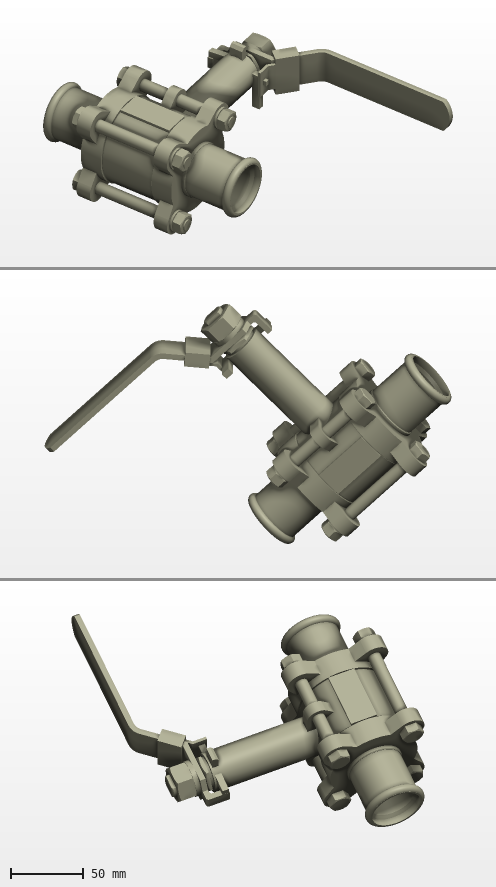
import cadquery as cq
import math


end_x = 77.5
pipe_d = 38.6
bead_d = 43.9
bead_width = 6.5
neck_d = 40.4
neck_length = 2.7
neck_chamfer = 0.6
bore_d = 32.0
mouth_d = 35.9
mouth_depth = 5.0
mouth_cone_end = 7.4

flange_d = 65.0
flange_outer_x = 37.6
flange_inner_x = 21.0
ear_thickness = 11.2
ear_r = 10.5
bolt_offset = 27.22
ear_root = (12.6, 29.9)

body_d = 63.0
body_half_length = 20.2
seal_d = 61.5
pad_half_width = 9.6
pad_z = 32.2
lug_r = 8.2
lug_thickness = 8.0

bolt_d = 9.25
bolt_across_flats = 14.0
head_height = 6.2
washer_d = 15.8
washer_thickness = 1.6
nut_height = 7.4
bolt_tip_d = 8.0
bolt_tip_x = 47.5
hex_chamfer = 0.8
chamfer_slope = 2.0

stem_tube_d = 28.5
stem_tube_base = 26.0
stem_tube_top = 108.2
packing_ring_d = 23.5
packing_nut_base = 110.2
packing_nut_top = 113.8
packing_nut_chamfer = 1.7
packing_neck_d = 21.0
stem_nut_across_flats = 24.4
collar_d = 25.6
collar_top = 121.8
stem_nut_top = 134.2
stem_d = 15.8
stem_flats = 11.0
stem_top = 137.1
stem_chamfer = 0.6

lever_thickness = 4.0
lever_width = 25.4
lever_top = 146.5
lever_base = 114.4
lever_end_x = 150.0
lever_end_sagitta = 5.4
lever_bend_r = 8.0
lever_angle = 49.0
lever_rise_x = 20.2
slope = math.radians(lever_angle)
rise_start = (lever_rise_x, lever_base + lever_thickness / 2)
stop_leg_x = -23.0
stop_leg_width = 9.0
stop_leg_bottom = 101.3
leg_bend_r = 2.0
taper_start_x = -15.5
taper_end_x = -11.0

sleeve_width = 31.0
sleeve_height = 10.2
sleeve_length = 17.2
sleeve_start = 1.2
strap_x = 19.3
strap_thickness = 2.1
strap_bottom = 100.5
strap_bend_y = 111.0
strap_width = 21.0

tab_bottom = 102.1
tab_top = 106.8
tab_reach = 23.0
tab_half_width = 5.2
tab_bevel = 2.2
side_tab_outer_z = (4.6, 9.3)
side_tab_inner_z = (5.0, 10.5)
side_tab_inner_x = -9.4
latch_tab_x = (13.2, 19.4)
latch_tab_top_z = 5.4
tongue_x = 23.9
tongue_bottom = 103.9
tongue_half_width = 2.0


def x_cylinder(diameter, x_start, x_end):
    return cq.Workplane("YZ", origin=(x_start, 0, 0)).circle(diameter / 2).extrude(x_end - x_start)


def y_plane(y):
    """Plane facing +Y at height y; its local axes are Z and X."""
    return cq.Workplane("ZX", origin=(0, y, 0))


def y_cylinder(diameter, y_start, y_end):
    return y_plane(y_start).circle(diameter / 2).extrude(y_end - y_start)


def block(x_range, y_range, z_range):
    size = [high - low for low, high in (x_range, y_range, z_range)]
    start = (x_range[0], y_range[0], z_range[0])
    return cq.Workplane("XY").box(*size, centered=False).translate(start)


def corner_cone(height, across_corners, chamfer_low, chamfer_high):
    """Turned blank, along Z, that bevels the corners of a hexagon."""
    radius = across_corners / 2
    points = [(0, 0), (radius - chamfer_slope * chamfer_low, 0)]
    if chamfer_low:
        points.append((radius, chamfer_low))
    points.append((radius, height - chamfer_high))
    if chamfer_high:
        points.append((radius - chamfer_slope * chamfer_high, height))
    points.append((0, height))
    return cq.Workplane("XZ").polyline(points).close().revolve(360, (0, 0), (0, 1))


def hexagon(across_flats, height, chamfer_low, chamfer_high):
    """Hexagonal prism along Z with two corners on X."""
    across_corners = across_flats / math.cos(math.radians(30))
    prism = cq.Workplane("XY").polygon(6, across_corners).extrude(height)
    return prism.intersect(corner_cone(height, across_corners, chamfer_low, chamfer_high))


def hexagon_along_x(x_start, height, chamfer_low, chamfer_high, y, z):
    """Bolt hexagon; its corners lie on Z where y and z have equal signs, otherwise on Y."""
    corner_angle = 0 if y * z > 0 else 90
    prism = hexagon(bolt_across_flats, height, chamfer_low, chamfer_high)
    prism = prism.rotate((0, 0, 0), (0, 0, 1), corner_angle)
    return prism.rotate((0, 0, 0), (0, 1, 0), 90).translate((x_start, y, z))


def hexagon_along_y(y_start, height, chamfer_low, chamfer_high):
    prism = hexagon(stem_nut_across_flats, height, chamfer_low, chamfer_high)
    return prism.rotate((0, 0, 0), (1, 0, 0), -90).translate((0, y_start, 0))


def ear_tangent():
    """Point where an ear's straight side touches its round end."""
    dy = bolt_offset - ear_root[0]
    dz = bolt_offset - ear_root[1]
    distance = math.hypot(dy, dz)
    angle = math.atan2(dz, dy) + math.asin(ear_r / distance)
    length = math.sqrt(distance ** 2 - ear_r ** 2)
    return (ear_root[0] + length * math.cos(angle), ear_root[1] + length * math.sin(angle))


def ear():
    tangent = ear_tangent()
    tip = bolt_offset + ear_r / math.sqrt(2)
    return (
        cq.Workplane("YZ", origin=(-flange_outer_x, 0, 0))
        .moveTo(0, 0)
        .lineTo(*ear_root)
        .lineTo(*tangent)
        .threePointArc((tip, tip), tangent[::-1])
        .lineTo(*ear_root[::-1])
        .close()
        .extrude(ear_thickness)
    )


def end_bead():
    """Half-round bead at the mouth of the -X pipe stub."""
    bead_r = bead_width / 2
    profile = (
        cq.Workplane("XY")
        .moveTo(-end_x, 0)
        .lineTo(-end_x, bead_d / 2 - bead_r)
        .threePointArc((-end_x + bead_r, bead_d / 2), (-end_x + bead_width, bead_d / 2 - bead_r))
        .lineTo(-end_x + bead_width, 0)
        .close()
    )
    return profile.revolve(360, (0, 0), (1, 0))


def mouth():
    """Cutter for the stepped mouth of the -X pipe stub."""
    profile = (
        cq.Workplane("XY")
        .moveTo(-end_x, 0)
        .lineTo(-end_x, mouth_d / 2)
        .lineTo(-end_x + mouth_depth, mouth_d / 2)
        .lineTo(-end_x + mouth_cone_end, bore_d / 2)
        .lineTo(-end_x + mouth_cone_end, 0)
        .close()
    )
    return profile.revolve(360, (0, 0), (1, 0))


def end_cap():
    """The cap on the -X side with its pipe stub."""
    cap = x_cylinder(flange_d, -flange_outer_x, -flange_inner_x)
    cap = cap.union(x_cylinder(pipe_d, -end_x, -flange_outer_x))
    neck = x_cylinder(neck_d, -flange_outer_x - neck_length, -flange_outer_x)
    cap = cap.union(neck.edges("<X").chamfer(neck_chamfer)).union(end_bead())
    for quarter in range(4):
        cap = cap.union(ear().rotate((0, 0, 0), (1, 0, 0), 90 * quarter))
    return cap


def lug(side):
    """Bolt guide on the stem side of the body; side is the sign of Z."""
    arm_length = bolt_offset * math.sqrt(2)
    arm = (
        cq.Workplane("YZ", origin=(-lug_thickness / 2, 0, 0))
        .center(arm_length / 2, 0)
        .rect(arm_length, 2 * lug_r)
        .extrude(lug_thickness)
        .rotate((0, 0, 0), (1, 0, 0), 45 * side)
    )
    x_range = (-lug_thickness / 2, lug_thickness / 2)
    eye = x_cylinder(2 * lug_r, *x_range).translate((0, bolt_offset, side * bolt_offset))
    return arm.union(eye)


def body():
    half = body_half_length
    shape = x_cylinder(body_d, -half, half)
    pad_range = (-pad_half_width, pad_half_width)
    shape = shape.union(block((-half, half), pad_range, (-pad_z, pad_z)))
    shape = shape.union(x_cylinder(seal_d, -flange_inner_x, flange_inner_x))
    bridge = block(
        (-lug_thickness / 2, lug_thickness / 2),
        (0, bolt_offset + lug_r),
        (-bolt_offset, bolt_offset),
    )
    return shape.union(bridge).union(lug(1)).union(lug(-1))


def bolt(y, z):
    washer_end = flange_outer_x + washer_thickness
    nut_end = washer_end + nut_height
    shank = x_cylinder(bolt_d, -flange_outer_x, washer_end)
    washer = x_cylinder(washer_d, flange_outer_x, washer_end)
    tip = x_cylinder(bolt_tip_d, washer_end, bolt_tip_x)
    head = hexagon_along_x(-flange_outer_x - head_height, head_height, hex_chamfer, 0, y, z)
    nut = hexagon_along_x(washer_end, nut_end - washer_end, hex_chamfer, hex_chamfer, y, z)
    turned = shank.union(washer).union(tip).translate((0, y, z))
    return turned.union(head).union(nut)


def bored(shape):
    shape = shape.cut(x_cylinder(bore_d, -end_x, end_x))
    return shape.cut(mouth()).cut(mouth().mirror("YZ"))


def stem():
    shape = y_cylinder(stem_tube_d, stem_tube_base, stem_tube_top)
    shape = shape.union(y_cylinder(packing_ring_d, stem_tube_top, packing_nut_base))
    shape = shape.union(y_cylinder(packing_neck_d, packing_nut_base, lever_base))
    packing_nut_height = packing_nut_top - packing_nut_base
    shape = shape.union(hexagon_along_y(packing_nut_base, packing_nut_height, 0, packing_nut_chamfer))
    plate_top = lever_base + lever_thickness
    shape = shape.union(y_cylinder(collar_d, plate_top, collar_top))
    stem_nut_height = stem_nut_top - collar_top
    shape = shape.union(hexagon_along_y(collar_top, stem_nut_height, hex_chamfer, hex_chamfer))
    stem_end = y_cylinder(stem_d, stem_nut_top, stem_top).edges(">Y").chamfer(stem_chamfer)
    flat_blank = y_plane(stem_nut_top).rect(stem_flats, stem_d).extrude(stem_top - stem_nut_top)
    return shape.union(stem_end.intersect(flat_blank))


def stop_tabs():
    y_range = (tab_bottom, tab_top)
    width = (-tab_half_width, tab_half_width)
    upper = block(width, y_range, (0, tab_reach))
    upper = upper.faces(">Z").edges("<Y").chamfer(tab_bevel)
    side_corners = [
        (side_tab_outer_z[0], -tab_reach),
        (side_tab_outer_z[1], -tab_reach),
        (side_tab_inner_z[1], side_tab_inner_x),
        (side_tab_inner_z[0], side_tab_inner_x),
    ]
    side_tab = y_plane(tab_bottom).polyline(side_corners).close().extrude(tab_top - tab_bottom)
    latch_tab = block(latch_tab_x, y_range, (-tab_reach, latch_tab_top_z))
    tongue_z = (-tongue_half_width, tongue_half_width)
    tongue = block((latch_tab_x[0], tongue_x), (tongue_bottom, tab_top), tongue_z)
    return upper.union(side_tab).union(latch_tab).union(tongue)


def along_slope(distance, offset=0.0):
    """Point on the lever's rising part; offset is measured to its upper-left side."""
    return (
        rise_start[0] + distance * math.cos(slope) - offset * math.sin(slope),
        rise_start[1] + distance * math.sin(slope) + offset * math.cos(slope),
    )


def lever():
    half = lever_thickness / 2
    middle_top = lever_top - half
    rise = (middle_top - rise_start[1]) / math.sin(slope)
    corner = along_slope(rise)
    miter = half * math.tan(slope / 2)
    plate_top = lever_base + lever_thickness
    side = (
        cq.Workplane("XY", origin=(0, 0, -lever_width / 2))
        .moveTo(stop_leg_x, stop_leg_bottom)
        .lineTo(stop_leg_x, plate_top)
        .lineTo(rise_start[0] - miter, plate_top)
        .lineTo(corner[0] - miter, lever_top)
        .lineTo(lever_end_x, lever_top)
        .lineTo(lever_end_x, lever_top - lever_thickness)
        .lineTo(corner[0] + miter, lever_top - lever_thickness)
        .lineTo(rise_start[0] + miter, lever_base)
        .lineTo(stop_leg_x + lever_thickness, lever_base)
        .lineTo(stop_leg_x + lever_thickness, stop_leg_bottom)
        .close()
        .extrude(lever_width)
    )

    def bend(shape, x, y, radius):
        return shape.edges(cq.selectors.NearestToPointSelector((x, y, 0))).fillet(radius)

    outer_bend_r = lever_bend_r + lever_thickness
    side = bend(side, corner[0] - miter, lever_top, outer_bend_r)
    side = bend(side, corner[0] + miter, lever_top - lever_thickness, lever_bend_r)
    side = bend(side, stop_leg_x, plate_top, leg_bend_r)
    side = bend(side, stop_leg_x + lever_thickness, lever_base, leg_bend_r)

    half_width = lever_width / 2
    half_leg = stop_leg_width / 2
    outline = (
        y_plane(stop_leg_bottom)
        .moveTo(-half_leg, stop_leg_x)
        .lineTo(-half_leg, taper_start_x)
        .lineTo(-half_width, taper_end_x)
        .lineTo(-half_width, lever_end_x - lever_end_sagitta)
        .threePointArc((0, lever_end_x), (half_width, lever_end_x - lever_end_sagitta))
        .lineTo(half_width, taper_end_x)
        .lineTo(half_leg, taper_start_x)
        .lineTo(half_leg, stop_leg_x)
        .close()
        .extrude(lever_top - stop_leg_bottom)
    )
    return side.intersect(outline)


def lock_sleeve():
    half = sleeve_height / 2
    end = sleeve_start + sleeve_length
    corners = [
        along_slope(sleeve_start, half),
        along_slope(end, half),
        along_slope(end, -half),
        along_slope(sleeve_start, -half),
    ]
    sleeve = (
        cq.Workplane("XY", origin=(0, 0, -sleeve_width / 2))
        .polyline(corners)
        .close()
        .extrude(sleeve_width)
    )
    miter = strap_thickness * math.tan((math.pi / 2 - slope) / 2)
    reach = sleeve_height
    step = (reach * math.cos(slope), reach * math.sin(slope))
    outer_x = strap_x + strap_thickness
    inner_bend = (strap_x, strap_bend_y)
    outer_bend = (outer_x, strap_bend_y - miter)
    strap = (
        cq.Workplane("XY", origin=(0, 0, -strap_width / 2))
        .moveTo(strap_x, strap_bottom)
        .lineTo(*inner_bend)
        .lineTo(inner_bend[0] + step[0], inner_bend[1] + step[1])
        .lineTo(outer_bend[0] + step[0], outer_bend[1] + step[1])
        .lineTo(*outer_bend)
        .lineTo(outer_x, strap_bottom)
        .close()
        .extrude(strap_width)
    )
    return sleeve.union(strap)


valve = body().union(end_cap()).union(end_cap().mirror("YZ"))
for bolt_y in (-bolt_offset, bolt_offset):
    for bolt_z in (-bolt_offset, bolt_offset):
        valve = valve.union(bolt(bolt_y, bolt_z))
valve = bored(valve)
result = valve.union(stem()).union(stop_tabs()).union(lever()).union(lock_sleeve())